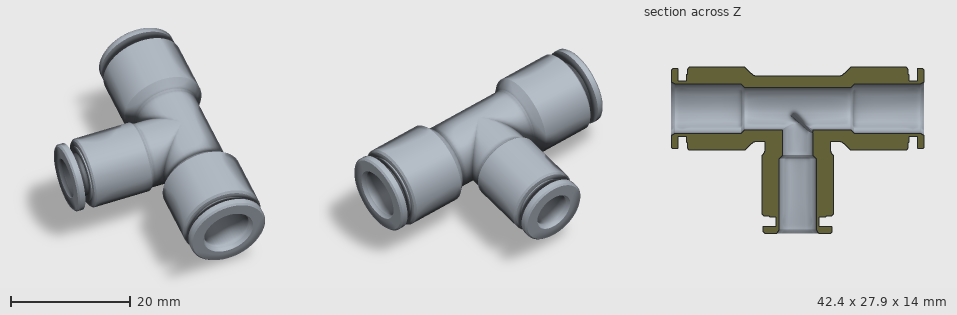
import cadquery as cq

run_half_length = 21.2
branch_length = 20.9

pipe_radius = 11.1 / 2

collar_thickness = 1.25
collar_chamfer = 0.3
mouth_depth = 0.55
mouth_flare = 0.4
lip_depth = 0.13
lip_height = 0.1

web_thickness = 0.1
web_edge_offset = 0.74
web_tilt = 0.125
web_size = 16.95


def revolve_port(profile, length):
    """Revolve (depth from port end, radius) points about X, with the port end at -X."""
    points = [(depth - length, radius) for depth, radius in profile]
    return cq.Workplane("XY").polyline(points).close().revolve(360, (0, 0, 0), (1, 0, 0))


def port_body(length, radii, depths):
    """Collar, neck, sleeve and pipe of one port, ending at the junction centre."""
    collar = radii["collar"]
    return revolve_port(
        [
            (0, 0),
            (0, collar - collar_chamfer),
            (collar_chamfer, collar),
            (collar_thickness, collar),
            (collar_thickness, radii["neck"]),
            (depths["neck_end"], radii["neck"]),
            (depths["neck_end"], radii["ring"]),
            (depths["rim"], radii["ring"]),
            (depths["rim"], radii["rim"]),
            (depths["sleeve_start"], radii["sleeve"]),
            (depths["sleeve_end"], radii["sleeve"]),
            (depths["cone_end"], radii["cone_end"]),
            (depths["pipe_start"], pipe_radius),
            (length, pipe_radius),
            (length, 0),
        ],
        length,
    )


def port_bore(length, tube_radius, tube_depth, bore_radius):
    """Flared tube socket with a conical seat, followed by the narrower flow bore."""
    seat_length = tube_radius - bore_radius
    return revolve_port(
        [
            (0, 0),
            (0, tube_radius + mouth_flare),
            (mouth_depth, tube_radius + lip_height),
            (mouth_depth + lip_depth, tube_radius),
            (tube_depth - seat_length, tube_radius),
            (tube_depth, bore_radius),
            (length, bore_radius),
            (length, 0),
        ],
        length,
    )


run_radii = {
    "collar": 13.5 / 2,
    "neck": 9.4 / 2,
    "ring": 11.5 / 2,
    "rim": 6.6,
    "sleeve": 14.0 / 2,
    "cone_end": 5.7,
}
run_depths = {
    "neck_end": 2.5,
    "rim": 2.7,
    "sleeve_start": 3.0,
    "sleeve_end": 12.3,
    "cone_end": 13.7,
    "pipe_start": 14.08,
}
run_tube_radius = 8.15 / 2
run_bore_radius = 7.0 / 2
run_body = port_body(run_half_length, run_radii, run_depths)
run_bore = port_bore(run_half_length, run_tube_radius, run_depths["sleeve_end"], run_bore_radius)

branch_radii = {
    "collar": 11.65 / 2,
    "neck": 7.3 / 2,
    "ring": 9.55 / 2,
    "rim": 5.7,
    "sleeve": 12.0 / 2,
    "cone_end": 5.7,
}
branch_depths = {
    "neck_end": 2.75,
    "rim": 2.93,
    "sleeve_start": 3.22,
    "sleeve_end": 13.1,
    "cone_end": 13.5,
    "pipe_start": 13.82,
}
branch_tube_radius = 6.15 / 2
branch_bore_radius = 5.0 / 2
branch_body = port_body(branch_length, branch_radii, branch_depths)
branch_bore = port_bore(
    branch_length, branch_tube_radius, branch_depths["sleeve_end"], branch_bore_radius
)


def join_tee(run_port, branch_port):
    """Join a run port, its mirror image and a branch port into one tee."""
    branch = branch_port.rotate((0, 0, 0), (0, 0, 1), 90)
    return run_port.union(run_port.mirror("YZ")).union(branch)


outside = join_tee(run_body, branch_body)
passages = join_tee(run_bore, branch_bore)

web_plane = cq.Plane(
    origin=(-web_edge_offset, -web_edge_offset, 0),
    xDir=(1, -1, 0),
    normal=(web_tilt, web_tilt, 1),
)
web_slab = cq.Workplane(web_plane).box(
    web_size, web_thickness, web_size, centered=(False, True, True)
)
web = web_slab.intersect(passages)

result = outside.cut(passages.cut(web))